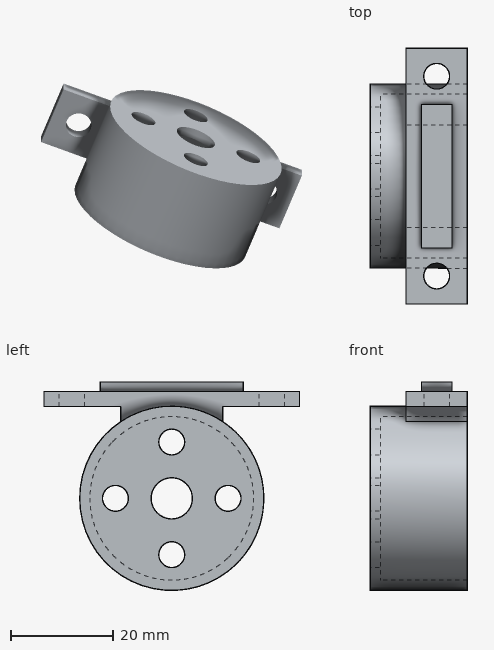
import cadquery as cq

cup_diameter = 36.0
cup_length = 19.0
cavity_diameter = 32.0
end_wall = 2.0

center_hole_diameter = 8.0
small_hole_diameter = 5.0
bolt_circle_diameter = 22.0
bolt_count = 4

flange_width = 12.0
flange_length = 50.0
flange_thickness = 3.0
flange_sink = 0.1
mount_hole_spacing = 39.0

neck_length = 20.0
neck_depth = 3.0

strip_width = 6.0
strip_length = 28.0
strip_height = 1.85

flange_bottom = cup_diameter / 2 - flange_sink
flange_top = flange_bottom + flange_thickness
flange_center_x = cup_length - flange_width / 2


def flange_block(width, length, height, bottom):
    """Box centred over the flange, with its underside at the given Z."""
    return (
        cq.Workplane("XY", origin=(flange_center_x, 0, bottom))
        .box(width, length, height, centered=(True, True, False))
    )


def make_outer_body():
    cup = cq.Workplane("YZ").circle(cup_diameter / 2).extrude(cup_length)
    neck = flange_block(flange_width, neck_length, neck_depth, flange_bottom - neck_depth)
    flange = flange_block(flange_width, flange_length, flange_thickness, flange_bottom)
    strip = flange_block(strip_width, strip_length, strip_height, flange_top)
    return cup.union(neck).union(flange).union(strip)


def make_cavity():
    return (
        cq.Workplane("YZ", origin=(end_wall, 0, 0))
        .circle(cavity_diameter / 2)
        .extrude(cup_length - end_wall)
    )


def make_end_wall_holes():
    center_hole = cq.Workplane("YZ").circle(center_hole_diameter / 2).extrude(end_wall)
    bolt_holes = (
        cq.Workplane("YZ")
        .polarArray(bolt_circle_diameter / 2, 0, 360, bolt_count)
        .circle(small_hole_diameter / 2)
        .extrude(end_wall)
    )
    return center_hole.union(bolt_holes)


def make_mount_holes():
    return (
        cq.Workplane("XY", origin=(flange_center_x, 0, flange_bottom))
        .rarray(0.5, mount_hole_spacing, 1, 2)
        .circle(small_hole_diameter / 2)
        .extrude(flange_thickness)
    )


result = (
    make_outer_body()
    .cut(make_cavity())
    .cut(make_end_wall_holes())
    .cut(make_mount_holes())
)